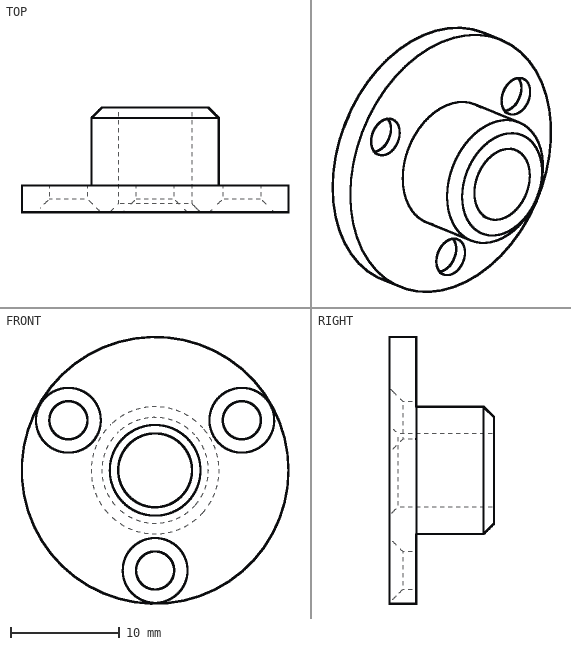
import cadquery as cq

flange_diameter = 24.7
flange_thickness = 2.5

overall_depth = 9.7
boss_diameter = 11.8
boss_chamfer = 1.0

bore_diameter = 6.82
bore_mouth_diameter = 8.4

screw_count = 3
screw_circle_radius = 9.26
screw_hole_diameter = 3.5
screw_head_diameter = 6.0
countersink_angle = 90.0
first_screw_angle = -90.0


def rod(diameter, length):
    """Cylinder around the Y axis, running from the front face toward +Y."""
    return cq.Workplane("XZ").circle(diameter / 2).extrude(-length)


flange = rod(flange_diameter, flange_thickness)
boss = rod(boss_diameter, overall_depth).faces(">Y").chamfer(boss_chamfer)
body = flange.union(boss)

bored = body.faces("<Y").workplane(origin=(0, 0, 0)).cskHole(
    bore_diameter, bore_mouth_diameter, countersink_angle
)

result = (
    bored.faces("<Y")
    .workplane(origin=(0, 0, 0))
    .polarArray(screw_circle_radius, first_screw_angle, 360, screw_count)
    .cskHole(screw_hole_diameter, screw_head_diameter, countersink_angle)
)